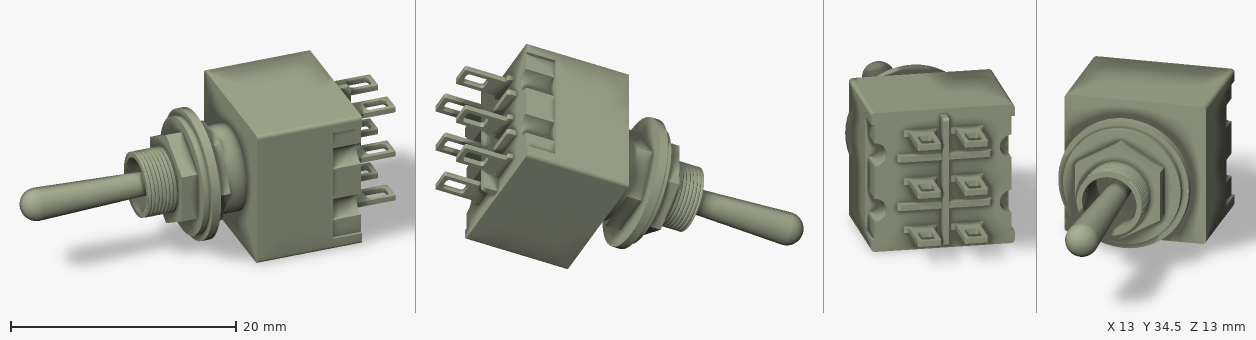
import cadquery as cq
import math


HOUSING_SIDE = 13.0
HOUSING_DEPTH = 10.0
HOUSING_EDGE_RADIUS = 0.33
FRAME_LIP_HEIGHT = 1.1
SIDE_RECESS_LENGTH = 2.8
SIDE_RECESS_DEPTH = 0.3
SCALLOP_RADIUS = 1.07
SCALLOP_OFFSET_Z = 2.6

RIB_THICKNESS = 0.55
CENTRE_RIB_LENGTH = 12.0
CENTRE_RIB_HEIGHT = 1.35
CROSS_RIB_LENGTH = 8.5
CROSS_RIB_HEIGHT = 0.85
CROSS_RIB_OFFSET_Z = 2.27
RIB_CORNER_RADIUS = 0.3

TERMINAL_LENGTH = 4.5
TERMINAL_WIDTH = 2.1
TERMINAL_THICKNESS = 0.5
TERMINAL_TIP_RADIUS = 0.12
TERMINAL_OFFSET_X = 2.12
TERMINAL_PITCH_Z = 4.5
SHOULDER_WIDTH = 3.0
SHOULDER_HEIGHT = 0.53
SHOULDER_RADIUS = 0.25
EYE_WIDTH = 1.3
EYE_LENGTH = 2.1
EYE_CORNER_RADIUS = 0.3
EYE_TO_TIP = 0.43

COLLAR_DIAMETER = 8.0
COLLAR_LENGTH = 1.75
NUT_ACROSS_FLATS = 7.8
NUT_THICKNESS = 1.5
INNER_NUT_TURN = 0
OUTER_NUT_TURN = 30
WASHER_DIAMETER = 12.0
WASHER_THICKNESS = 0.8
LOCK_WASHER_DIAMETER = 10.8
LOCK_WASHER_THICKNESS = 0.6

BUSHING_DIAMETER = 6.0
BUSHING_LENGTH = 9.0
BORE_DIAMETER = 5.0
BORE_DEPTH = 5.0
THREAD_PITCH = 0.35
THREAD_DEPTH = 0.15
THREAD_GROOVE_WIDTH = 0.25
THREAD_CUT_CLEARANCE = 0.05

LEVER_REACH = 20.0
LEVER_TIP_RADIUS = 1.5
LEVER_RADIUS_AT_MOUTH = 1.12

INNER_NUT_START = COLLAR_LENGTH
WASHER_START = INNER_NUT_START + NUT_THICKNESS
LOCK_WASHER_START = WASHER_START + WASHER_THICKNESS
OUTER_NUT_START = LOCK_WASHER_START + LOCK_WASHER_THICKNESS
THREAD_START = OUTER_NUT_START + NUT_THICKNESS
BORE_FLOOR = BUSHING_LENGTH - BORE_DEPTH
LEVER_BALL_CENTRE = LEVER_REACH - LEVER_TIP_RADIUS


def axis_plane(distance):
    """XZ workplane facing -Y at the given distance in front of the housing."""
    return cq.Workplane("XZ", origin=(0, -distance, 0))


def disc(start, diameter, length):
    return axis_plane(start).circle(diameter / 2).extrude(length)


def hex_nut(start, turn):
    """Hexagonal nut; at zero turn two of its corners lie on the X axis."""
    corner_diameter = NUT_ACROSS_FLATS / math.cos(math.pi / 6)
    nut = axis_plane(start).polygon(6, corner_diameter).extrude(NUT_THICKNESS)
    return nut.rotate((0, 0, 0), (0, 1, 0), turn)


def box_on_back(width, height, thickness):
    """Box standing on the back of the housing: X width, Y height, Z thickness."""
    return (
        cq.Workplane("XY", origin=(0, HOUSING_DEPTH, 0))
        .box(width, height, thickness, centered=(True, False, True))
    )


def make_housing():
    housing = (
        axis_plane(0)
        .rect(HOUSING_SIDE, HOUSING_SIDE)
        .extrude(-HOUSING_DEPTH)
        .edges("|Y")
        .fillet(HOUSING_EDGE_RADIUS)
    )
    recess_plane = axis_plane(-HOUSING_DEPTH)
    recess_height = HOUSING_SIDE - 2 * FRAME_LIP_HEIGHT
    recess_floor = HOUSING_SIDE / 2 - SIDE_RECESS_DEPTH
    for side in (-1, 1):
        recess = (
            recess_plane
            .center(side * HOUSING_SIDE / 2, 0)
            .rect(2 * SIDE_RECESS_DEPTH, recess_height)
            .extrude(SIDE_RECESS_LENGTH)
        )
        scallops = (
            recess_plane
            .pushPoints([(side * recess_floor, z) for z in (-SCALLOP_OFFSET_Z, SCALLOP_OFFSET_Z)])
            .circle(SCALLOP_RADIUS)
            .extrude(SIDE_RECESS_LENGTH)
        )
        housing = housing.cut(recess).cut(scallops)
    return housing


def make_ribs():
    ribs = (
        box_on_back(RIB_THICKNESS, CENTRE_RIB_HEIGHT, CENTRE_RIB_LENGTH)
        .edges(">Y and |X")
        .fillet(RIB_CORNER_RADIUS)
    )
    cross_rib = (
        box_on_back(CROSS_RIB_LENGTH, CROSS_RIB_HEIGHT, RIB_THICKNESS)
        .edges(">Y and |Z")
        .fillet(RIB_CORNER_RADIUS)
    )
    for z in (-CROSS_RIB_OFFSET_Z, CROSS_RIB_OFFSET_Z):
        ribs = ribs.union(cross_rib.translate((0, 0, z)))
    return ribs


def make_terminal():
    blade = (
        box_on_back(TERMINAL_WIDTH, TERMINAL_LENGTH, TERMINAL_THICKNESS)
        .edges(">Y and |Z")
        .fillet(TERMINAL_TIP_RADIUS)
    )
    shoulder = (
        box_on_back(SHOULDER_WIDTH, SHOULDER_HEIGHT, TERMINAL_THICKNESS)
        .edges(">Y and |Z")
        .fillet(SHOULDER_RADIUS)
    )
    eye_centre = HOUSING_DEPTH + TERMINAL_LENGTH - EYE_TO_TIP - EYE_LENGTH / 2
    eye = (
        cq.Workplane("XY")
        .box(EYE_WIDTH, EYE_LENGTH, 2 * TERMINAL_THICKNESS)
        .edges("|Z")
        .fillet(EYE_CORNER_RADIUS)
        .translate((0, eye_centre, 0))
    )
    return blade.union(shoulder).cut(eye)


def make_thread_groove():
    """Right-handed V groove that runs out through the mouth of the bushing."""
    radius = BUSHING_DIAMETER / 2
    length = BUSHING_LENGTH - THREAD_START
    outer_radius = radius + THREAD_CUT_CLEARANCE
    helix = cq.Wire.makeHelix(THREAD_PITCH, length, radius)
    groove = (
        cq.Workplane("XZ")
        .moveTo(radius - THREAD_DEPTH, 0)
        .lineTo(outer_radius, THREAD_GROOVE_WIDTH / 2)
        .lineTo(outer_radius, -THREAD_GROOVE_WIDTH / 2)
        .close()
        .sweep(cq.Workplane(helix), isFrenet=True)
    )
    return groove.rotate((0, 0, 0), (1, 0, 0), 90).translate((0, -THREAD_START, 0))


def make_bushing():
    bushing = disc(0, BUSHING_DIAMETER, BUSHING_LENGTH)
    bushing = bushing.cut(make_thread_groove())
    bushing = bushing.union(disc(0, COLLAR_DIAMETER, COLLAR_LENGTH))
    bushing = bushing.union(hex_nut(INNER_NUT_START, INNER_NUT_TURN))
    bushing = bushing.union(disc(WASHER_START, WASHER_DIAMETER, WASHER_THICKNESS))
    bushing = bushing.union(disc(LOCK_WASHER_START, LOCK_WASHER_DIAMETER, LOCK_WASHER_THICKNESS))
    bushing = bushing.union(hex_nut(OUTER_NUT_START, OUTER_NUT_TURN))
    return bushing.cut(disc(BORE_FLOOR, BORE_DIAMETER, BORE_DEPTH))


def make_lever():
    """Taper that widens from the bore floor to a hemispherical tip."""
    taper = (LEVER_TIP_RADIUS - LEVER_RADIUS_AT_MOUTH) / (LEVER_BALL_CENTRE - BUSHING_LENGTH)
    root_radius = LEVER_RADIUS_AT_MOUTH - taper * BORE_DEPTH
    arc_middle = LEVER_TIP_RADIUS * math.sqrt(0.5)
    return (
        cq.Workplane("XY")
        .moveTo(0, -BORE_FLOOR)
        .lineTo(root_radius, -BORE_FLOOR)
        .lineTo(LEVER_TIP_RADIUS, -LEVER_BALL_CENTRE)
        .threePointArc((arc_middle, -LEVER_BALL_CENTRE - arc_middle), (0, -LEVER_REACH))
        .close()
        .revolve(360, (0, 0, 0), (0, 1, 0))
    )


terminal = make_terminal()
result = make_housing().union(make_ribs())
for x in (-TERMINAL_OFFSET_X, TERMINAL_OFFSET_X):
    for row in (-1, 0, 1):
        result = result.union(terminal.translate((x, 0, row * TERMINAL_PITCH_Z)))
result = result.union(make_bushing()).union(make_lever())